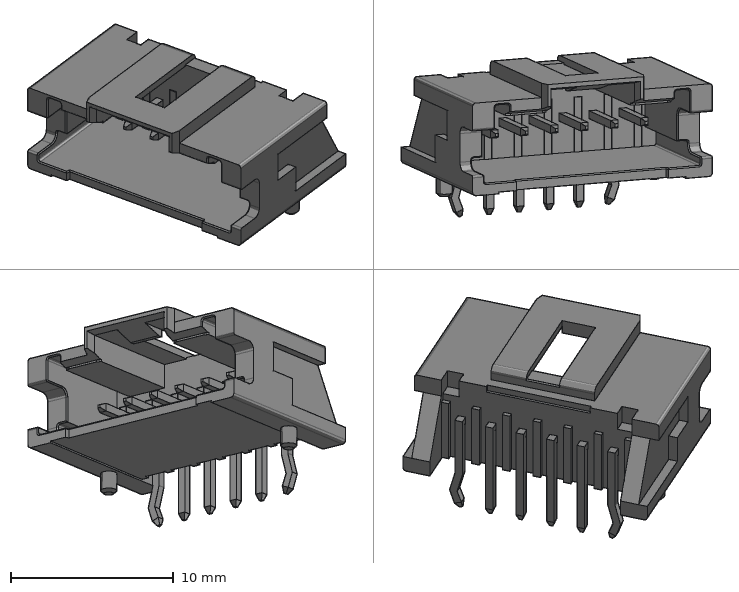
import cadquery as cq
import math

width = 16.0
half_width = width / 2
body_top = 5.8
body_top_radius = 0.2
body_bottom_radius = 0.24
centre_back = 8.9
wing_inner = 6.24
wing_top_back = 9.18
wing_back = 11.22
wing_slope_top = 4.64
wing_ledge = 1.04
foot_height = 0.11

cover_half = 3.4
cover_top = 6.7
cover_back = 8.08
cover_back_radius = 0.4
tongue_length = 0.53
tongue_bevel = 0.2

cavity_back = 7.0
cavity_floor = 0.74
cavity_low_half = 7.22
cavity_shelf = 1.95
cavity_high_half = 6.5
ear_top = 5.57
ear_inner = 5.52
cavity_top_radius = 0.16
cavity_bottom_radius = 0.13
rail_bottom = 4.74
latch_half = 2.82
latch_ceiling = 6.25
mouth_bevel = 0.08
tongue_lead_in = 0.18

rail_slope_tip = 5.31
rail_slope_end = 4.86
rail_slope_depth = 0.56
rail_corner_width = 0.29
rail_corner_depth = 0.13

window_half = 1.09
window_front = 1.7
window_recess = 6.35
recess_rear_bevel = 0.08
catch_bottom = 5.8

pitch = 2.0
pin_count = 6
pin_size = 0.5
pin_tip_size = 0.2
pin_tip_length = 0.4
pin_height = 3.0
pin_front = 3.26
pin_leg_y = 9.22
pin_bottom = -3.2
kink_start = -0.65
kink_peak = -1.95
kink_end = -2.78
kink_offset = 0.35
kink_end_offset = 0.05

fin_thickness = 0.5
fin_top = 4.18
fin_proud = 0.06

post_x = 7.0
post_y = 6.82
post_diameter = 1.0
post_bottom = -1.3
post_bevel = 0.2

side_notch_depth = 1.98
side_notch_bottom = 1.26
side_notch_top = 4.05
side_notch_radius = 0.5
side_notch_lip_radius = 0.13

recess_depth = 0.58
recess_upper_front = 4.0
recess_lower_front = 5.87
recess_step = 2.77

corner_notch_inner = 5.18
corner_notch_floor = wing_slope_top
back_step_length = 0.18
back_step_depth = 0.4

floor_relief_half = 5.07
floor_relief_depth = 0.24
floor_relief_flare = 0.06


def block(x0, x1, y0, y1, z0, z1):
    """Axis-aligned box between two corners."""
    return cq.Workplane("XY").box(x1 - x0, y1 - y0, z1 - z0, centered=False).translate((x0, y0, z0))


def profile_x(points, x0, x1):
    """Closed (Y, Z) outline extruded from x0 to x1."""
    return cq.Workplane("YZ", origin=(x0, 0, 0)).polyline(points).close().extrude(x1 - x0)


def profile_y(points, y0, y1):
    """Closed (X, Z) outline extruded from y0 to y1."""
    return cq.Workplane("XZ", origin=(0, y0, 0)).polyline(points).close().extrude(y0 - y1)


def mirrored(solid):
    """The solid together with its mirror image in X = 0."""
    return solid.union(solid.mirror("YZ"))


def symmetric(points):
    """Close a right-half outline with its mirror image."""
    return points + [(-x, z) for x, z in reversed(points)]


def shell_block():
    """Outer body: rounded bar trimmed to the stepped rear with two sloping wings."""
    bar = block(-half_width, half_width, 0, wing_back, 0, body_top)
    bar = bar.edges("|Y and >Z").fillet(body_top_radius)
    bar = bar.edges("|Y and <Z").fillet(body_bottom_radius)
    side = [
        (0, 0),
        (wing_back, 0),
        (wing_back, wing_ledge),
        (wing_top_back, wing_slope_top),
        (wing_top_back, body_top),
        (0, body_top),
    ]
    body = bar.intersect(profile_x(side, -half_width, half_width))
    body = body.cut(block(-wing_inner, wing_inner, centre_back, wing_back, 0, body_top))
    return body.cut(block(-wing_inner, wing_inner, 0, wing_back, 0, foot_height))


def cover():
    """Raised roof with a bevelled tongue in front of the mating face."""
    roof = block(-cover_half, cover_half, 0, cover_back, rail_bottom, cover_top)
    roof = roof.edges(">Y and >Z").fillet(cover_back_radius)
    tip_half = cover_half - tongue_bevel
    tongue = (
        cq.Workplane("XY", origin=(0, 0, rail_bottom))
        .polyline([
            (-cover_half, 0),
            (-tip_half, -tongue_length),
            (tip_half, -tongue_length),
            (cover_half, 0),
        ])
        .close()
        .extrude(cover_top - rail_bottom)
    )
    return roof.union(tongue)


def edges_near(x, z):
    """Selector for the cavity edges along Y at (x, z) and (-x, z)."""
    reach = 0.02
    right = cq.selectors.BoxSelector((x - reach, 0, z - reach), (x + reach, cavity_back, z + reach))
    left = cq.selectors.BoxSelector((-x - reach, 0, z - reach), (-x + reach, cavity_back, z + reach))
    return right + left


def cavity():
    """Main mating cavity: wide at the floor, with an ear at each upper end."""
    right_half = [
        (cavity_low_half, cavity_floor),
        (cavity_low_half, cavity_shelf),
        (cavity_high_half, cavity_shelf),
        (cavity_high_half, ear_top),
        (ear_inner, ear_top),
        (ear_inner, rail_bottom),
    ]
    space = profile_y(symmetric(right_half), 0, cavity_back)
    space = space.edges("|Y and <Z").fillet(cavity_bottom_radius)
    space = space.edges("|Y and >Z").fillet(cavity_top_radius)
    return space.edges(edges_near(cavity_low_half, cavity_shelf)).fillet(cavity_top_radius)


def mouth_edges():
    """Selector for the front rim of the cavity, which dips into both side notches."""
    reach = 0.02
    near_front = cq.selectors.BoxSelector(
        (-cavity_low_half - reach, -reach, cavity_floor - reach),
        (cavity_low_half + reach, side_notch_depth + reach, ear_top + reach),
    )
    rim = near_front - cq.selectors.ParallelDirSelector(cq.Vector(0, 1, 0))
    notch_floor_edges = edges_near(cavity_low_half, side_notch_bottom)
    notch_ceiling_edges = edges_near(cavity_high_half, side_notch_top)
    return rim + notch_floor_edges + notch_ceiling_edges


def latch_channel():
    """Raised channel under the cover with lead-in slopes and bevelled rail corners."""
    channel = block(-latch_half, latch_half, 0, cavity_back, rail_bottom, latch_ceiling)
    tip_half = latch_half + tongue_lead_in
    height = latch_ceiling - rail_bottom
    lead_in = (
        cq.Workplane("XZ", origin=(0, -tongue_length, rail_bottom + height / 2))
        .rect(2 * tip_half, height + 2 * tongue_lead_in)
        .workplane(offset=-tongue_length)
        .rect(2 * latch_half, height)
        .loft(ruled=True)
    )
    below = rail_bottom - tongue_lead_in
    rail_slope = [
        (-tongue_length, below),
        (-tongue_length, rail_slope_tip),
        (rail_slope_depth, rail_slope_end),
        (rail_slope_depth, below),
    ]
    slope = profile_x(rail_slope, -ear_inner, ear_inner)
    corners = cq.Workplane("XY")
    for x, inward in ((ear_inner, -1), (latch_half, 1)):
        corner = (
            cq.Workplane("XY", origin=(0, 0, rail_bottom))
            .polyline([
                (x, rail_slope_depth),
                (x, rail_slope_depth + rail_corner_depth),
                (x + inward * rail_corner_width, rail_slope_depth),
            ])
            .close()
            .extrude(rail_slope_end - rail_bottom)
        )
        corners = corners.union(corner)
    return channel.union(lead_in).union(slope).union(mirrored(corners))


def latch_catch():
    """Ramp under the roof, continuing the lead-in slope up to the window."""
    ramp_length = (latch_ceiling - catch_bottom) * tongue_length / tongue_lead_in
    outline = [
        (0, latch_ceiling),
        (ramp_length, catch_bottom),
        (window_front, catch_bottom),
        (window_front, latch_ceiling),
    ]
    return profile_x(outline, -window_half, window_half)


def latch_window():
    """Window through the roof and the shallow recess behind it."""
    window = block(-window_half, window_half, window_front, cavity_back, latch_ceiling, cover_top)
    recess = [
        (window_front, cover_top),
        (window_front, window_recess),
        (cover_back - recess_rear_bevel, window_recess),
        (cover_back, window_recess - recess_rear_bevel),
        (cover_back, cover_top),
    ]
    return window.union(profile_x(recess, -window_half, window_half))


def side_notch():
    """Rounded notch through both side walls, open at the mating face."""
    notch = block(-half_width, half_width, 0, side_notch_depth, side_notch_bottom, side_notch_top)
    notch = notch.edges("|X and >Y").fillet(side_notch_radius)
    radius = side_notch_lip_radius
    diagonal = radius * math.sin(math.pi / 4)
    for edge, outward in ((side_notch_bottom, -1), (side_notch_top, 1)):
        far = edge + outward * radius
        lip = (
            cq.Workplane("YZ", origin=(-half_width, 0, 0))
            .moveTo(0, edge)
            .lineTo(radius, edge)
            .threePointArc((radius - diagonal, far - outward * diagonal), (0, far))
            .close()
            .extrude(width)
        )
        notch = notch.union(lip)
    return notch


def side_recess():
    """Stepped pocket in the outer face of each wing, open at the rear."""
    outline = [
        (recess_lower_front, wing_ledge),
        (wing_back, wing_ledge),
        (wing_back, wing_slope_top),
        (recess_upper_front, wing_slope_top),
        (recess_upper_front, recess_step),
        (recess_lower_front, recess_step),
    ]
    return mirrored(profile_x(outline, half_width - recess_depth, half_width))


def rear_notches():
    """Pockets beside the wings and a low step behind the cover."""
    corner = block(corner_notch_inner, wing_inner, cover_back, centre_back, corner_notch_floor, body_top)
    step_front = centre_back - back_step_length
    step_floor = body_top - back_step_depth
    step = block(-cover_half, cover_half, step_front, centre_back, step_floor, body_top)
    return mirrored(corner).union(step)


def floor_relief():
    """Shallow setback of the floor's front edge."""
    inner = floor_relief_half - floor_relief_flare
    return (
        cq.Workplane("XY")
        .polyline([
            (-floor_relief_half, 0),
            (floor_relief_half, 0),
            (inner, floor_relief_depth),
            (-inner, floor_relief_depth),
        ])
        .close()
        .extrude(cavity_floor)
    )


def fins():
    """Upright fins between the pins, proud of both faces of the rear wall."""
    row = cq.Workplane("XY")
    half = fin_thickness / 2
    front = cavity_back - fin_proud
    for i in range(pin_count + 1):
        x = (i - pin_count / 2) * pitch
        row = row.union(block(x - half, x + half, front, wing_top_back, foot_height, fin_top))
    return row


def pin_tip(base, direction, cross):
    """Tapered square tip pointing along direction from the base point."""
    plane = cq.Plane(origin=base, xDir=cross, normal=direction)
    return (
        cq.Workplane(plane)
        .rect(pin_size, pin_size)
        .workplane(offset=pin_tip_length)
        .rect(pin_tip_size, pin_tip_size)
        .loft(ruled=True)
    )


def pin_bar(x):
    """Horizontal contact with its tip in the cavity."""
    half = pin_size / 2
    shoulder = pin_front + pin_tip_length
    bar = block(x - half, x + half, shoulder, pin_leg_y + half, pin_height - half, pin_height + half)
    return bar.union(pin_tip((x, shoulder, pin_height), (0, -1, 0), (1, 0, 0)))


def straight_leg(x):
    """Plain solder leg."""
    half = pin_size / 2
    shoulder = pin_bottom + pin_tip_length
    leg = block(x - half, x + half, pin_leg_y - half, pin_leg_y + half, shoulder, pin_height)
    return leg.union(pin_tip((x, pin_leg_y, shoulder), (0, 0, -1), (1, 0, 0)))


def kinked_leg(x):
    """Retention leg bent outward and back."""
    half = pin_size / 2
    out = math.copysign(1, x)
    peak_x = x + out * kink_offset
    end_x = x + out * kink_end_offset
    dx = end_x - peak_x
    dz = kink_end - kink_peak
    length = math.hypot(dx, dz)
    across_x = -dz / length * half
    across_z = dx / length * half
    outline = [
        (x - half, pin_height),
        (x - half, kink_start),
        (peak_x - half, kink_peak),
        (end_x - across_x, kink_end - across_z),
        (end_x + across_x, kink_end + across_z),
        (peak_x + half, kink_peak),
        (x + half, kink_start),
        (x + half, pin_height),
    ]
    leg = profile_y(outline, pin_leg_y - half, pin_leg_y + half)
    tip = pin_tip((end_x, pin_leg_y, kink_end), (dx, 0, dz), (0, 1, 0))
    return leg.union(tip)


def pins():
    """Row of right-angle contacts; the two end legs are kinked."""
    row = cq.Workplane("XY")
    for i in range(pin_count):
        x = (i - (pin_count - 1) / 2) * pitch
        is_end = i in (0, pin_count - 1)
        leg = kinked_leg(x) if is_end else straight_leg(x)
        row = row.union(pin_bar(x)).union(leg)
    return row


def posts():
    """Bevelled locating posts under the wings."""
    post = (
        cq.Workplane("XY", origin=(post_x, post_y, post_bottom))
        .circle(post_diameter / 2)
        .extrude(cavity_floor / 2 - post_bottom)
        .faces("<Z")
        .chamfer(post_bevel)
    )
    return mirrored(post)


shell = shell_block().cut(cavity()).cut(side_notch()).cut(floor_relief())
shell = shell.edges(mouth_edges()).chamfer(mouth_bevel)

result = (
    shell.union(cover())
    .cut(latch_channel())
    .cut(latch_window())
    .cut(side_recess())
    .cut(rear_notches())
    .union(latch_catch())
    .union(fins())
    .union(pins())
    .union(posts())
)